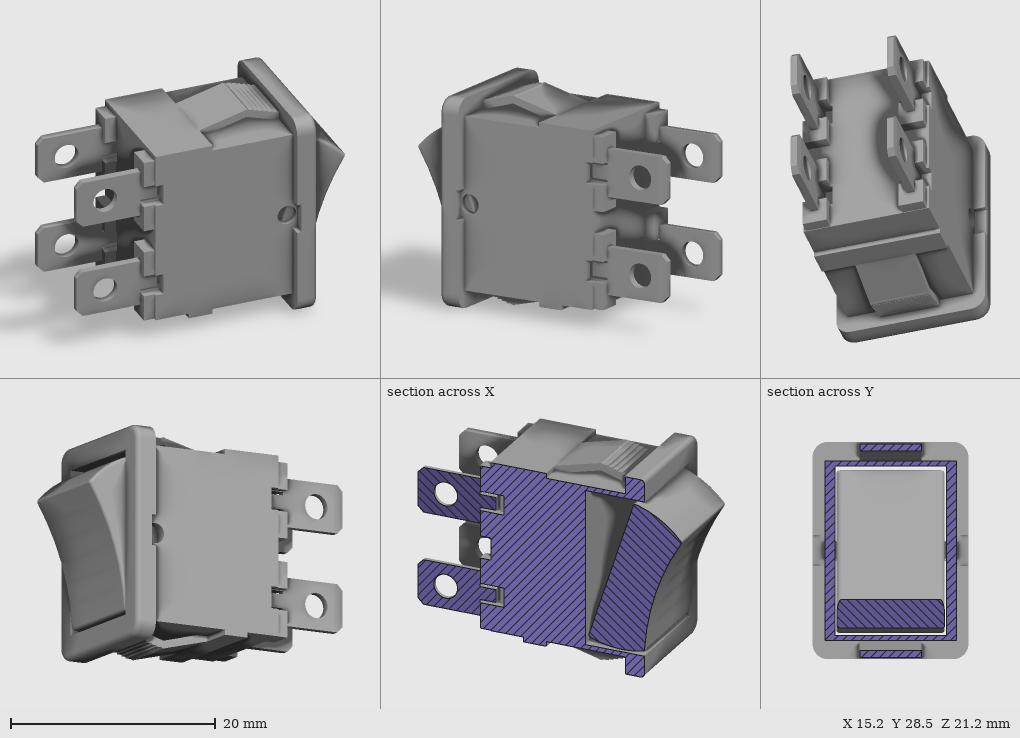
import cadquery as cq
import math


FLANGE_WIDTH = 15.2
FLANGE_HEIGHT = 21.2
FLANGE_THICKNESS = 2.13
FLANGE_CORNER_RADIUS = 1.5
FLANGE_EDGE_RADIUS = 0.48
BODY_WIDTH = 12.85
BODY_HEIGHT = 17.57
BODY_LENGTH = 14.47
STEP_HEIGHT = 0.5
STEP_START = 8.45
BOTTOM_STEP_LENGTH = 2.53
NOTCH_HEIGHT = 3.07
NOTCH_DEPTH = 0.45
WALL_THICKNESS = 1.02
CAVITY_HEIGHT = 16.5
CAVITY_DEPTH = 4.26

CLIP_WIDTH = 6.03
CLIP_FOOT_Z = 9.55
TOOTH_COUNT = 6
TOOTH_START = 0.17
TOOTHED_LENGTH = 3.0
TOOTH_RISE = 0.15
CREST_Z = 10.58
CREST_ARC_SAG = 0.03
CREST_LENGTH = 0.55
CREST_DROP = 0.09
CREST_RIDGE = 0.03
CLIP_INNER_FRONT_Y = -0.2
CLIP_INNER_PEAK_Z = 9.78
CLIP_INNER_REAR_Y = -7.25

PIVOT_Y = -0.6
PIVOT_HOLE_RADIUS = 1.0
TILT = 18.0
ROCKER_WIDTH = 10.58
ROCKER_TIP_OUT = 4.98
ROCKER_TIP_SPAN = 13.05
ROCKER_END_OUT = 2.55
ROCKER_END_SPAN = 15.25
ROCKER_BACK_SPAN = 15.98
ROCKER_DISH_OUT = 4.12
ROCKER_BACK_RADIUS = 0.5
ROCKER_END_EDGE_RADIUS = 0.3
ROCKER_FACE_EDGE_RADIUS = 0.25
STUB_RADIUS = 0.97
STUB_LENGTH = 0.75
STUB_EDGE_RADIUS = 0.17

TERMINAL_X = 4.92
TERMINAL_Z = 4.95
PAD_WIDTH = 2.47
PAD_HEIGHT = 7.55
PAD_THICKNESS = 1.15
SLOT_HEIGHT = 2.2
SLOT_DEPTH = 0.82
POCKET_HEIGHT = 2.02
POCKET_DEPTH = 1.4
SLOT_INNER_X = 3.45
POCKET_WIDTH = 0.97
BLADE_THICKNESS = 0.82
BLADE_HEIGHT = 4.83
BLADE_LENGTH = 6.75
BLADE_TIP_LENGTH = 0.97
BLADE_TIP_THICKNESS = 0.65
BLADE_CORNER = 0.63
BLADE_HOLE_RADIUS = 1.25
BLADE_HOLE_Y = -19.33
NECK_HEIGHT = 1.42
NECK_LENGTH = 1.7

PAD_REAR_Y = -BODY_LENGTH - PAD_THICKNESS
BODY_TOP_Z = BODY_HEIGHT / 2
TERMINAL_PLACES = [(x, z) for x in (-TERMINAL_X, TERMINAL_X) for z in (-TERMINAL_Z, TERMINAL_Z)]


def block(x0, x1, y0, y1, z0, z1):
    """A box between the given limits."""
    return cq.Workplane("XY").box(x1 - x0, y1 - y0, z1 - z0, centered=False).translate((x0, y0, z0))


def centred_block(width, y0, y1, height):
    """A box centred on X = 0 and Z = 0."""
    return block(-width / 2, width / 2, y0, y1, -height / 2, height / 2)


def make_flange():
    flange = centred_block(FLANGE_WIDTH, 0, FLANGE_THICKNESS, FLANGE_HEIGHT)
    flange = flange.edges("|Y").fillet(FLANGE_CORNER_RADIUS)
    flange = flange.faces(">Y").edges().fillet(FLANGE_EDGE_RADIUS)
    notches = centred_block(FLANGE_WIDTH, 0, NOTCH_DEPTH, NOTCH_HEIGHT)
    notches = notches.cut(centred_block(BODY_WIDTH, 0, NOTCH_DEPTH, NOTCH_HEIGHT))
    return flange.cut(notches)


def make_steps():
    """The thicker rear top of the body and the short rib under it."""
    half = BODY_WIDTH / 2
    top = block(-half, half, -BODY_LENGTH, -STEP_START, 0, BODY_TOP_Z + STEP_HEIGHT)
    rib_end = -STEP_START - BOTTOM_STEP_LENGTH
    rib = block(-half, half, rib_end, -STEP_START, -BODY_TOP_Z - STEP_HEIGHT, 0)
    return top.union(rib)


def make_top_clip():
    outline = cq.Workplane("YZ", origin=(-CLIP_WIDTH / 2, 0, 0)).moveTo(0, BODY_TOP_Z).lineTo(0, CLIP_FOOT_Z)
    riser_y = -TOOTH_START
    tread_z = CLIP_FOOT_Z
    outline = outline.lineTo(riser_y, tread_z)
    for _ in range(TOOTH_COUNT):
        tread_z += TOOTH_RISE
        outline = outline.lineTo(riser_y, tread_z)
        riser_y -= TOOTHED_LENGTH / TOOTH_COUNT
        outline = outline.lineTo(riser_y, tread_z)
    crest_y = riser_y - CREST_LENGTH / 2
    crest_end = (riser_y - CREST_LENGTH, CREST_Z - CREST_DROP)
    ridge_foot_z = CREST_Z - CREST_RIDGE
    outline = (
        outline.lineTo(riser_y, CREST_Z - 2 * CREST_DROP)
        .threePointArc((riser_y - CREST_LENGTH / 4, ridge_foot_z - CREST_ARC_SAG), (crest_y, ridge_foot_z))
        .lineTo(crest_y, CREST_Z)
        .threePointArc((crest_y - CREST_LENGTH / 4, CREST_Z - CREST_ARC_SAG), crest_end)
        .lineTo(-STEP_START, BODY_TOP_Z + STEP_HEIGHT)
        .lineTo(-STEP_START, BODY_TOP_Z)
        .lineTo(CLIP_INNER_REAR_Y, BODY_TOP_Z)
        .lineTo(crest_y, CLIP_INNER_PEAK_Z)
        .lineTo(CLIP_INNER_FRONT_Y, BODY_TOP_Z)
        .close()
    )
    return outline.extrude(CLIP_WIDTH)


def make_pad(x, z):
    return cq.Workplane("XY").box(PAD_WIDTH, PAD_THICKNESS, PAD_HEIGHT).translate(
        (x, -BODY_LENGTH - PAD_THICKNESS / 2, z)
    )


def cut_slot(housing, x, z):
    """Cuts a slot open to the side of the body, with a deeper, slightly lower pocket behind the blade."""
    x0, x1 = sorted(math.copysign(size, x) for size in (SLOT_INNER_X, BODY_WIDTH / 2))
    pocket_x0 = x - POCKET_WIDTH / 2
    pocket_x1 = x + POCKET_WIDTH / 2
    for start, end, depth, height in (
        (x0, pocket_x0, SLOT_DEPTH, SLOT_HEIGHT),
        (pocket_x0, pocket_x1, POCKET_DEPTH, POCKET_HEIGHT),
        (pocket_x1, x1, SLOT_DEPTH, SLOT_HEIGHT),
    ):
        floor_y = -BODY_LENGTH + depth
        housing = housing.cut(block(start, end, PAD_REAR_Y, floor_y, z - height / 2, z + height / 2))
    return housing


def make_housing():
    housing = centred_block(BODY_WIDTH, -BODY_LENGTH, FLANGE_THICKNESS / 2, BODY_HEIGHT)
    clip = make_top_clip()
    housing = housing.union(make_flange()).union(make_steps())
    housing = housing.union(clip).union(clip.mirror("XY"))
    for x, z in TERMINAL_PLACES:
        housing = housing.union(make_pad(x, z))
    for x, z in TERMINAL_PLACES:
        housing = cut_slot(housing, x, z)
    cavity = centred_block(BODY_WIDTH - 2 * WALL_THICKNESS, -CAVITY_DEPTH, FLANGE_THICKNESS, CAVITY_HEIGHT)
    pivot_hole = (
        cq.Workplane("YZ", origin=(-BODY_WIDTH / 2, PIVOT_Y, 0))
        .circle(PIVOT_HOLE_RADIUS)
        .extrude(BODY_WIDTH)
    )
    return housing.cut(cavity).cut(pivot_hole)


def make_stub():
    """Half-round pivot stub on the -X side of the upright rocker."""
    stub_end = -ROCKER_WIDTH / 2 - STUB_LENGTH
    stub = (
        cq.Workplane("YZ", origin=(stub_end, 0, 0))
        .moveTo(0, -STUB_RADIUS)
        .threePointArc((STUB_RADIUS, 0), (0, STUB_RADIUS))
        .close()
        .extrude(STUB_LENGTH)
    )
    return stub.faces("<X").edges().fillet(STUB_EDGE_RADIUS)


def edges_within(z0, z1, y0, y1):
    """Selects the rocker's edges whose centres lie in a band of heights and distances from the pivot."""
    margin = 0.05
    return cq.selectors.BoxSelector(
        (-ROCKER_WIDTH, y0 - margin, z0 - margin), (ROCKER_WIDTH, y1 + margin, z1 + margin)
    )


def make_rocker():
    back_y = -PIVOT_HOLE_RADIUS
    back_z = ROCKER_BACK_SPAN / 2
    tip_z = ROCKER_TIP_SPAN / 2
    end_z = ROCKER_END_SPAN / 2
    rocker = (
        cq.Workplane("YZ", origin=(-ROCKER_WIDTH / 2, 0, 0))
        .moveTo(back_y, -back_z)
        .threePointArc((ROCKER_END_OUT, -end_z), (ROCKER_TIP_OUT, -tip_z))
        .threePointArc((ROCKER_DISH_OUT, 0), (ROCKER_TIP_OUT, tip_z))
        .threePointArc((ROCKER_END_OUT, end_z), (back_y, back_z))
        .close()
        .extrude(ROCKER_WIDTH)
    )
    rocker = rocker.faces("<Y").edges("|Z").fillet(ROCKER_BACK_RADIUS)
    end_edges = edges_within(tip_z, back_z, 0, ROCKER_TIP_OUT) + edges_within(
        -back_z, -tip_z, 0, ROCKER_TIP_OUT
    )
    rocker = rocker.edges(end_edges).edges("not |X").fillet(ROCKER_END_EDGE_RADIUS)
    face_edges = edges_within(-tip_z, tip_z, ROCKER_DISH_OUT, ROCKER_TIP_OUT)
    rocker = rocker.edges(face_edges).fillet(ROCKER_FACE_EDGE_RADIUS)
    stub = make_stub()
    rocker = rocker.union(stub).union(stub.mirror("YZ"))
    return rocker.rotate((0, 0, 0), (1, 0, 0), -TILT).translate((0, PIVOT_Y, 0))


def make_terminal(x, z):
    """A flat tab with a tapered tip, a round hole and a narrow neck in its slot."""
    blade_end = PAD_REAR_Y - BLADE_LENGTH
    tip_start = blade_end + BLADE_TIP_LENGTH
    half_thickness = BLADE_THICKNESS / 2
    half_tip = BLADE_TIP_THICKNESS / 2
    blade = centred_block(BLADE_THICKNESS, blade_end, PAD_REAR_Y, BLADE_HEIGHT)
    blade = blade.faces("<Y").edges("|X").chamfer(BLADE_CORNER)
    taper = (
        cq.Workplane("XY", origin=(0, 0, -BLADE_HEIGHT / 2))
        .moveTo(-half_thickness, PAD_REAR_Y)
        .lineTo(-half_thickness, tip_start)
        .lineTo(-half_tip, blade_end)
        .lineTo(half_tip, blade_end)
        .lineTo(half_thickness, tip_start)
        .lineTo(half_thickness, PAD_REAR_Y)
        .close()
        .extrude(BLADE_HEIGHT)
    )
    hole = (
        cq.Workplane("YZ", origin=(-half_thickness, BLADE_HOLE_Y, 0))
        .circle(BLADE_HOLE_RADIUS)
        .extrude(BLADE_THICKNESS)
    )
    neck = centred_block(BLADE_THICKNESS, PAD_REAR_Y, PAD_REAR_Y + NECK_LENGTH, NECK_HEIGHT)
    return blade.intersect(taper).cut(hole).union(neck).translate((x, 0, z))


housing = make_housing()
rocker = make_rocker()
terminals = [make_terminal(x, z) for x, z in TERMINAL_PLACES]

result = cq.Compound.makeCompound(
    [housing.val(), rocker.val(), *[terminal.val() for terminal in terminals]]
)